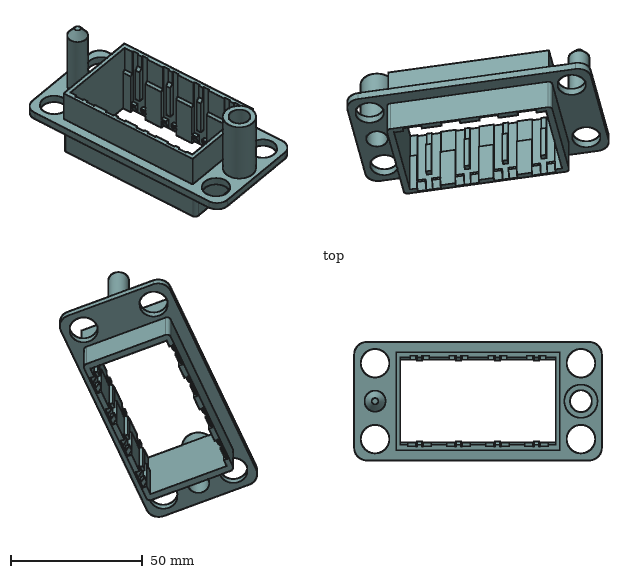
import cadquery as cq


flange_length = 94.0
flange_width = 45.0
flange_thickness = 3.2
flange_corner_radius = 5.0
mount_x = 39.0
mount_y = 14.4
mount_hole_diameter = 10.7

shroud_length = 62.1
shroud_width = 37.2
shroud_height = 12.7
body_length = 63.8
body_width = 35.5
body_height = 13.5
body_corner_radius = 1.5
cavity_length = 58.75
cavity_width = 33.2

pin_diameter = 8.0
pin_height = 28.5
pin_tip_diameter = 2.4
pin_tip_height = 3.5
socket_diameter = 12.6
socket_bore_diameter = 8.2
socket_height = 25.5

station_count = 4
station_pitch = 14.8
front_groove_reach = 4.5
rear_groove_reach = 3.6
groove_depth = 0.6
rib_width = 2.0
rib_depth = 1.3
rib_top_z = 7.0
rib_bottom_z = -8.65
ledge_depth = 0.9
ledge_top_z = 2.0
hook_clearance = 0.3
hook_top_z = -12.4
hook_nose_height = 0.9

flange_bottom_z = -flange_thickness
body_bottom_z = flange_bottom_z - body_height
wall_y = cavity_width / 2
groove_y = wall_y + groove_depth
ledge_y = wall_y - ledge_depth
rib_y = wall_y - rib_depth
cavity_end_x = cavity_length / 2
rib_half = rib_width / 2
station_xs = [(i - (station_count - 1) / 2) * station_pitch for i in range(station_count)]


def block(length, width, bottom_z, top_z):
    """Upright box centred on the Z axis."""
    return (
        cq.Workplane("XY")
        .workplane(offset=bottom_z)
        .rect(length, width)
        .extrude(top_z - bottom_z)
    )


def wall_profile(side, x_start, x_end, points):
    """Prism along X from (distance from centre, z) points, on the wall at side * Y."""
    outline = [(side * y, z) for y, z in points]
    return cq.Workplane("YZ").workplane(offset=x_start).polyline(outline).close().extrude(x_end - x_start)


def wall_box(side, x_start, x_end, near_y, far_y, bottom_z, top_z):
    """Rectangular prism against one long wall."""
    corners = [(near_y, bottom_z), (far_y, bottom_z), (far_y, top_z), (near_y, top_z)]
    return wall_profile(side, x_start, x_end, corners)


def flange():
    plate = block(flange_length, flange_width, flange_bottom_z, 0)
    return plate.edges("|Z").fillet(flange_corner_radius)


def body():
    lower = block(body_length, body_width, body_bottom_z, flange_bottom_z)
    return lower.edges("|Z").fillet(body_corner_radius)


def guide_pin():
    """Cylinder with a truncated conical tip, revolved about its own axis."""
    return (
        cq.Workplane("XZ", origin=(-mount_x, 0, 0))
        .polyline([
            (0, 0),
            (pin_diameter / 2, 0),
            (pin_diameter / 2, pin_height - pin_tip_height),
            (pin_tip_diameter / 2, pin_height),
            (0, pin_height),
        ])
        .close()
        .revolve(360, (0, 0, 0), (0, 1, 0))
    )


def guide_socket():
    return cq.Workplane("XY").center(mount_x, 0).circle(socket_diameter / 2).extrude(socket_height)


def flange_hole(x, y, diameter, top_z):
    """Round cutter from top_z down to the underside of the flange."""
    return (
        cq.Workplane("XY")
        .workplane(offset=flange_bottom_z)
        .center(x, y)
        .circle(diameter / 2)
        .extrude(top_z - flange_bottom_z)
    )


def station_recess(side, x, reach):
    """Two full-height grooves joined by a recess below the rib."""
    lower = wall_box(side, x - reach, x + reach, wall_y, groove_y, body_bottom_z, rib_bottom_z)
    left = wall_box(side, x - reach, x - rib_half, wall_y, groove_y, rib_bottom_z, shroud_height)
    right = wall_box(side, x + rib_half, x + reach, wall_y, groove_y, rib_bottom_z, shroud_height)
    return lower.union(left).union(right)


def rib(side, x):
    """Narrow rib on the land between the grooves, with a 45-degree top."""
    return wall_profile(side, x - rib_half, x + rib_half, [
        (wall_y, rib_bottom_z),
        (rib_y, rib_bottom_z),
        (rib_y, rib_top_z - rib_depth),
        (wall_y, rib_top_z),
    ])


def hook(side, x_start, x_end):
    """Latch with a flat top and an underside that tapers back to the groove floor."""
    return wall_profile(side, x_start, x_end, [
        (groove_y, hook_top_z),
        (ledge_y, hook_top_z),
        (ledge_y, hook_top_z - hook_nose_height),
        (groove_y, body_bottom_z),
    ])


def ledge(side, x_start, x_end):
    """Raised panel with a 45-degree top, running down to the bottom of the body."""
    return wall_profile(side, x_start, x_end, [
        (wall_y, body_bottom_z),
        (ledge_y, body_bottom_z),
        (ledge_y, ledge_top_z - ledge_depth),
        (wall_y, ledge_top_z),
    ])


result = flange().union(block(shroud_length, shroud_width, 0, shroud_height))
result = result.union(body()).union(guide_pin()).union(guide_socket())
result = result.cut(block(cavity_length, cavity_width, body_bottom_z, shroud_height))
result = result.cut(flange_hole(mount_x, 0, socket_bore_diameter, socket_height))
for hole_x in (-mount_x, mount_x):
    for hole_y in (-mount_y, mount_y):
        result = result.cut(flange_hole(hole_x, hole_y, mount_hole_diameter, 0))

for side, reach in ((-1, front_groove_reach), (1, rear_groove_reach)):
    hook_inner = rib_half + hook_clearance
    ledge_start = -cavity_end_x
    for station_x in station_xs:
        result = result.cut(station_recess(side, station_x, reach))
        result = result.union(rib(side, station_x))
        result = result.union(hook(side, station_x - reach, station_x - hook_inner))
        result = result.union(hook(side, station_x + hook_inner, station_x + reach))
        result = result.union(ledge(side, ledge_start, station_x - reach))
        ledge_start = station_x + reach
    result = result.union(ledge(side, ledge_start, cavity_end_x))